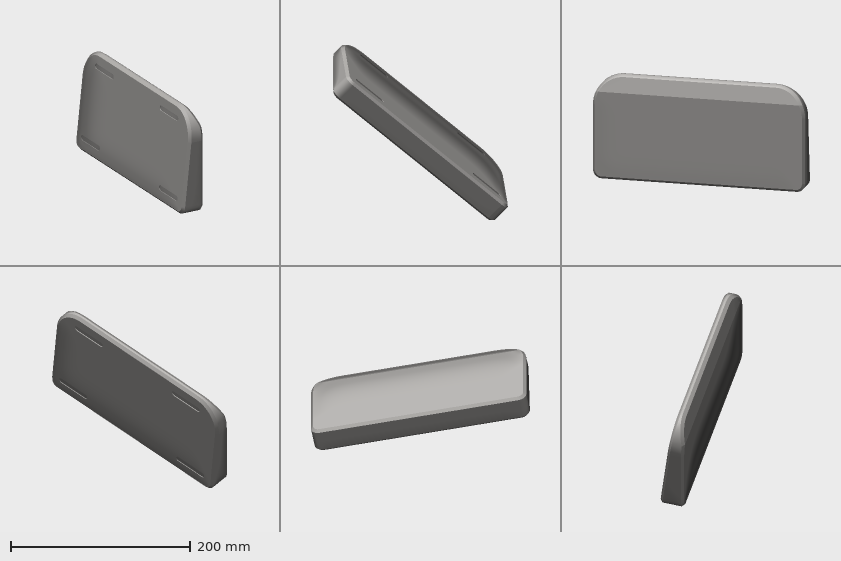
import cadquery as cq
import math

WIDTH = 244.6
DEPTH = 27.86
HEIGHT = 120.96
BACK_Y = DEPTH / 2
BOTTOM_Z = -HEIGHT / 2
TOP_Z = HEIGHT / 2

TOP_CORNER_RADIUS = 35.0
BOTTOM_CORNER_RADIUS = 10.0
EDGE_CHAMFER = 3.0

FRONT_LEAN = math.radians(6.0)
BACK_BEVEL_HEIGHT = 20.0
BACK_BEVEL_LEAN = math.radians(19.5)
FRONT_NORMAL = cq.Vector(0, -math.cos(FRONT_LEAN), math.sin(FRONT_LEAN))
BEVEL_NORMAL = cq.Vector(0, math.cos(BACK_BEVEL_LEAN), math.sin(BACK_BEVEL_LEAN))
BACK_NORMAL = cq.Vector(0, 1, 0)

SLOT_LENGTH = 42.0
SLOT_WIDTH = 6.0
SLOT_DEPTH = 1.0
UPPER_SLOT_X = 73.3
LOWER_SLOT_X = 88.3
UPPER_SLOT_FROM_BOTTOM = 105.0
LOWER_SLOT_FROM_BOTTOM = 16.0

FRONT_FOOT_Y = -DEPTH / 2 - EDGE_CHAMFER * math.sin(FRONT_LEAN)


def front_y(z):
    """Y of the leaning front face at height z."""
    return FRONT_FOOT_Y + (z - BOTTOM_Z) * math.tan(FRONT_LEAN)


def wedge():
    """Side profile, with its leaning front and bevelled back, across the full width."""
    bevel_top_y = BACK_Y - BACK_BEVEL_HEIGHT * math.tan(BACK_BEVEL_LEAN)
    profile = [
        (FRONT_FOOT_Y, BOTTOM_Z),
        (BACK_Y, BOTTOM_Z),
        (BACK_Y, TOP_Z - BACK_BEVEL_HEIGHT),
        (bevel_top_y, TOP_Z),
        (front_y(TOP_Z), TOP_Z),
    ]
    return cq.Workplane("YZ").polyline(profile).close().extrude(WIDTH / 2, both=True)


def outline_block():
    """Upright plate outline, rounded at its corners, deeper than the wedge."""
    block = cq.Workplane("XY").box(WIDTH, 2 * DEPTH, HEIGHT)
    block = block.edges("|Y and >Z").fillet(TOP_CORNER_RADIUS)
    return block.edges("|Y and <Z").fillet(BOTTOM_CORNER_RADIUS)


def edges_of_face(body, normal):
    """Edges of the flat face that lies square to the given normal."""
    return body.faces(cq.selectors.ParallelDirSelector(normal)).edges().vals()


def chamfered_body():
    """Wedge trimmed to the outline, with the rims of its front and back faces chamfered."""
    body = wedge().intersect(outline_block())
    front = edges_of_face(body, FRONT_NORMAL)
    bevel = edges_of_face(body, BEVEL_NORMAL)
    back = edges_of_face(body, BACK_NORMAL)
    back_rim = [edge for edge in back if not any(edge.isSame(other) for other in bevel)]
    bevel_rim = [edge for edge in bevel if not any(edge.isSame(other) for other in back)]
    return body.newObject(front + back_rim + bevel_rim).chamfer(EDGE_CHAMFER)


def slot(x, height_from_bottom):
    """Cutter for one shallow round-ended slot, sunk square to the front face."""
    z = BOTTOM_Z + height_from_bottom
    face_plane = cq.Plane(origin=(x, front_y(z), z), xDir=(1, 0, 0), normal=FRONT_NORMAL)
    return cq.Workplane(face_plane).slot2D(SLOT_LENGTH, SLOT_WIDTH).extrude(-SLOT_DEPTH)


result = chamfered_body()
for side in (-1, 1):
    result = result.cut(slot(side * UPPER_SLOT_X, UPPER_SLOT_FROM_BOTTOM))
    result = result.cut(slot(side * LOWER_SLOT_X, LOWER_SLOT_FROM_BOTTOM))